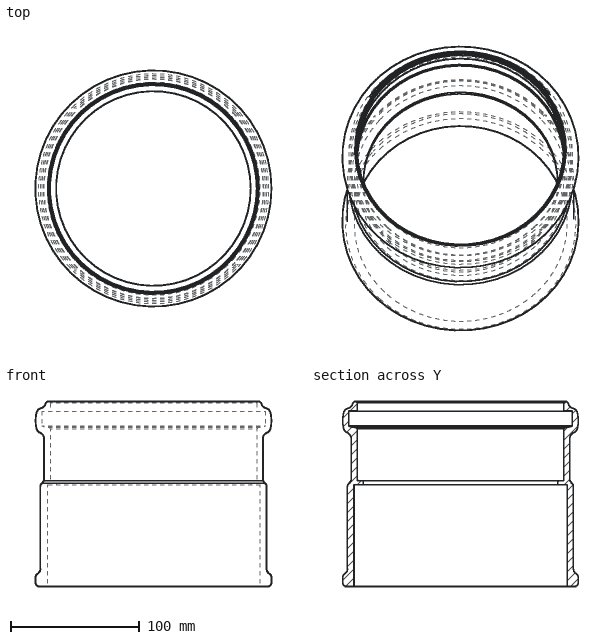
import cadquery as cq
import math

height = 143.8
outer_radius = 183.7 / 2

body_radius = 176.2 / 2
neck_radius = 170.5 / 2

foot_radius = 89.5
flange_round_top = 3.0
flange_top = 7.0
flange_bend_radius = 90.0
flange_bend_z = 10.1
body_start = 14.0

body_end = 77.9
shoulder_bend_radius = 86.9
shoulder_bend_z = 80.1
neck_start = 82.3

neck_end = 114.6
bead_lower_bend_radius = 87.6
bead_lower_bend_z = 119.2
bead_side_radius = 91.1
bead_side_bottom = 122.9
bead_side_top = 134.8
bead_upper_bend_radius = 87.6
bead_upper_bend_z = 138.7
rim_side_radius = 84.3
rim_side_z = 141.3
rim_top_radius = 82.1

lower_bore_radius = 165.5 / 2
stop_radius = 151.0 / 2
upper_bore_radius = 160.4 / 2
stop_bottom = 79.0
stop_top = neck_start
stop_corner = 1.0
mouth_chamfer = 1.0

groove_radius = 173.8 / 2
groove_edge_z = 122.5
groove_edge_rise = 1.1
groove_edge_run = 0.7
groove_floor_z = 125.0
groove_bend_radius = 85.6
groove_bend_z = 124.4
groove_top = 136.3

bow = 0.14


def add_bend(profile, start, end, side):
    """Add an arc bowed to the left (+1) or right (-1) of the path."""
    step_r = end[0] - start[0]
    step_z = end[1] - start[1]
    middle = (
        (start[0] + end[0]) / 2 - side * bow * step_z,
        (start[1] + end[1]) / 2 + side * bow * step_r,
    )
    return profile.threePointArc(middle, end)


def add_s_bend(profile, start, bend, end, first_side):
    """Add two arcs that bow to opposite sides."""
    profile = add_bend(profile, start, bend, first_side)
    return add_bend(profile, bend, end, -first_side)


profile = cq.Workplane("XZ").moveTo(lower_bore_radius, 0).lineTo(foot_radius, 0)

profile = add_bend(profile, (foot_radius, 0), (outer_radius, flange_round_top), -1)
profile = profile.lineTo(outer_radius, flange_top)
profile = add_s_bend(
    profile,
    (outer_radius, flange_top),
    (flange_bend_radius, flange_bend_z),
    (body_radius, body_start),
    -1,
)
profile = profile.lineTo(body_radius, body_end)

profile = add_bend(profile, (body_radius, body_end), (shoulder_bend_radius, shoulder_bend_z), -1)
profile = profile.lineTo(neck_radius, neck_start).lineTo(neck_radius, neck_end)

profile = add_s_bend(
    profile,
    (neck_radius, neck_end),
    (bead_lower_bend_radius, bead_lower_bend_z),
    (bead_side_radius, bead_side_bottom),
    1,
)
profile = profile.threePointArc(
    (outer_radius, (bead_side_bottom + bead_side_top) / 2),
    (bead_side_radius, bead_side_top),
)
profile = add_s_bend(
    profile,
    (bead_side_radius, bead_side_top),
    (bead_upper_bend_radius, bead_upper_bend_z),
    (rim_side_radius, rim_side_z),
    -1,
)
profile = add_bend(profile, (rim_side_radius, rim_side_z), (rim_top_radius, height), -1)

profile = (
    profile.lineTo(upper_bore_radius + mouth_chamfer, height)
    .lineTo(upper_bore_radius, height - mouth_chamfer)
    .lineTo(upper_bore_radius, groove_top)
    .lineTo(groove_radius, groove_top)
    .lineTo(groove_radius, groove_floor_z)
)
profile = add_bend(
    profile,
    (groove_radius, groove_floor_z),
    (groove_bend_radius, groove_bend_z),
    -1,
)
profile = (
    profile.lineTo(upper_bore_radius + groove_edge_run, groove_edge_z + groove_edge_rise)
    .lineTo(upper_bore_radius, groove_edge_z)
)

corner_mid = stop_corner * (1 - math.sqrt(0.5))
profile = (
    profile.lineTo(upper_bore_radius, stop_top + stop_corner)
    .threePointArc(
        (upper_bore_radius - corner_mid, stop_top + corner_mid),
        (upper_bore_radius - stop_corner, stop_top),
    )
    .lineTo(stop_radius, stop_top)
    .lineTo(stop_radius, stop_bottom)
    .lineTo(lower_bore_radius, stop_bottom)
    .close()
)

result = profile.revolve(360, (0, 0, 0), (0, 1, 0))